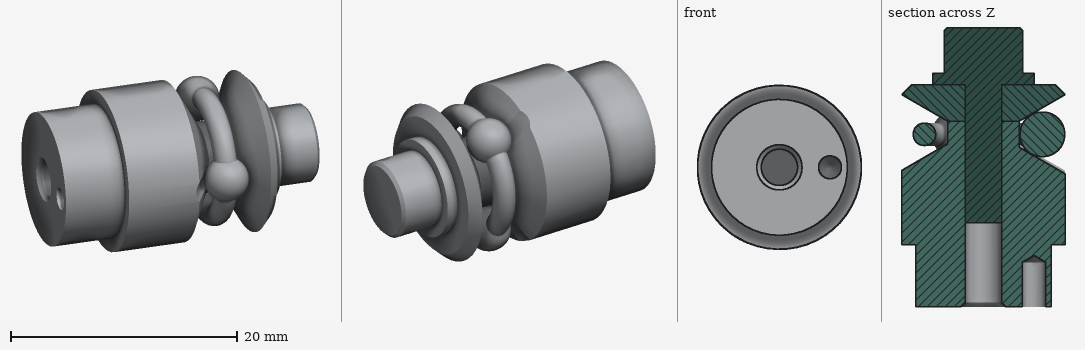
import cadquery as cq
import math

overall_length = 24.7
shoulder_y = 5.48
ramp_base_y = 12.08
ball_y = 15.26
cone_rim_y = 18.77
head_length = 4.0
flange_thickness = 1.01
flange_rear_y = overall_length - head_length
cone_rear_y = flange_rear_y - flange_thickness

body_radius = 7.25
nose_radius = 6.0
neck_radius = 3.19
cone_angle = 60.0
rim_chamfer = cone_rear_y - cone_rim_y
ramp_length = (body_radius - neck_radius) / math.tan(math.radians(cone_angle))
ramp_top_y = ramp_base_y + ramp_length
cone_small_y = cone_rim_y - ramp_length

ball_count = 3
ball_radius = 2.0
ball_circle_radius = 5.2
ring_wire_radius = 1.01
groove_half_length = 9.88

head_radius = 3.5
head_chamfer = 0.3
flange_radius = 4.5
shank_radius = 1.6
shank_end_y = 7.4
bore_mouth_radius = 2.0
bore_chamfer = bore_mouth_radius - shank_radius
pin_hole_radius = 1.01
pin_hole_offset = 4.47
pin_hole_depth = 3.95
pin_hole_tip = pin_hole_radius / math.tan(math.radians(cone_angle))


def turned(points):
    """Solid of revolution about Y from (radius, y) points."""
    return cq.Workplane("XY").polyline(points).close().revolve(360, (0, 0, 0), (0, 1, 0))


def around_axis(shape, index):
    """Turn a shape about Y to one of the ball positions."""
    return shape.rotate((0, 0, 0), (0, 1, 0), index * 360 / ball_count)


def make_ball_groove():
    """Round cutter parallel to the ramp, with its axis through a ball centre."""
    angle = math.radians(cone_angle)
    direction = cq.Vector(math.sin(angle), -math.cos(angle), 0)
    start = cq.Vector(ball_circle_radius, ball_y, 0) - direction * groove_half_length
    plane = cq.Plane(origin=start, xDir=(0, 0, 1), normal=direction)
    return cq.Workplane(plane).circle(ball_radius).extrude(2 * groove_half_length)


def make_housing():
    """Body with a front nose, a ball ramp and a neck that reaches the clamping cone."""
    housing = turned([
        (0, 0),
        (nose_radius, 0),
        (nose_radius, shoulder_y),
        (body_radius, shoulder_y),
        (body_radius, ramp_base_y),
        (neck_radius, ramp_top_y),
        (0, ramp_top_y),
    ])
    groove = make_ball_groove()
    for index in range(ball_count):
        housing = housing.cut(around_axis(groove, index))

    neck = turned([
        (0, shoulder_y),
        (neck_radius, shoulder_y),
        (neck_radius, cone_small_y),
        (0, cone_small_y),
    ])
    housing = housing.union(neck)

    bore = turned([
        (0, 0),
        (bore_mouth_radius, 0),
        (shank_radius, bore_chamfer),
        (shank_radius, cone_small_y),
        (0, cone_small_y),
    ])

    pin_hole = turned([
        (0, 0),
        (pin_hole_radius, 0),
        (pin_hole_radius, pin_hole_depth),
        (0, pin_hole_depth + pin_hole_tip),
    ]).translate((pin_hole_offset, 0, 0))
    return housing.cut(bore).cut(pin_hole)


def make_clamping_cone():
    """Conical disc around the screw, with its narrow end against the neck."""
    return turned([
        (shank_radius, cone_small_y),
        (neck_radius, cone_small_y),
        (body_radius, cone_rim_y),
        (body_radius - rim_chamfer, cone_rear_y),
        (shank_radius, cone_rear_y),
    ])


def make_screw():
    """Flanged screw whose shank fills the bore behind the front recess."""
    return turned([
        (0, shank_end_y),
        (shank_radius, shank_end_y),
        (shank_radius, cone_rear_y),
        (flange_radius, cone_rear_y),
        (flange_radius, flange_rear_y),
        (head_radius, flange_rear_y),
        (head_radius, overall_length - head_chamfer),
        (head_radius - head_chamfer, overall_length),
        (0, overall_length),
    ])


def make_ball_ring():
    """Three balls carried on one ring."""
    ball_ring = (
        cq.Workplane("XY")
        .center(ball_circle_radius, ball_y)
        .circle(ring_wire_radius)
        .revolve(360, (-ball_circle_radius, 0, 0), (-ball_circle_radius, 1, 0))
    )
    ball = cq.Workplane("XY").sphere(ball_radius).translate((ball_circle_radius, ball_y, 0))
    for index in range(ball_count):
        ball_ring = ball_ring.union(around_axis(ball, index))
    return ball_ring


housing = make_housing()
clamping_cone = make_clamping_cone()
screw = make_screw()
ball_ring = make_ball_ring()

result = cq.Compound.makeCompound([
    housing.val(),
    clamping_cone.val(),
    screw.val(),
    ball_ring.val(),
])